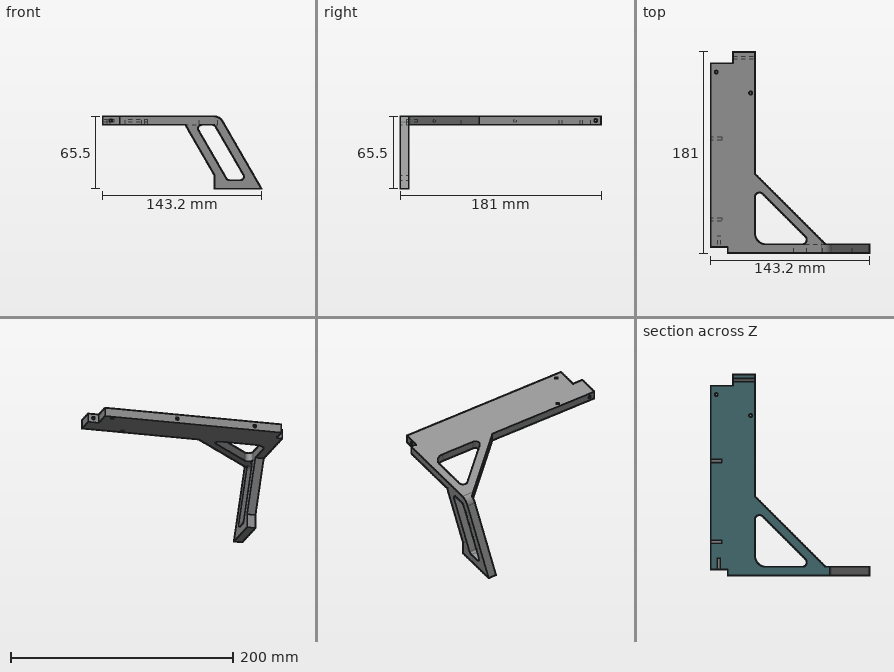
import cadquery as cq
import math

length_x = 143.2
length_y = 181.0
height = 65.5
thickness = 8.0
top = height
underside = top - thickness
mid_plate = top - thickness / 2

plate_width = 40.0
back_notch_x = plate_width / 2
back_notch_y = 10.0
front_notch_x = 15.4
front_notch_y = 5.5
brace_start_y = 71.3
brace_end_x = plate_width + brace_start_y - thickness
brace_corner_radius = 10.0
brace_tip_radius = 4.0

lean = math.radians(60)
foot_x = 100.6
foot_height = 12.3
bend_radius = 10.0
leg_window_radius = 3.0

hole_diameter = 2.5
blind_depth = 10.0
vertical_hole_places = [(5.0, length_y - 18.1), (36.0, length_y - 37.0)]
side_hole_pitch = 72.8
tab_hole_y = length_y - back_notch_y / 2
front_hole_x = 7.5


def outer_leg_x(z):
    """X of the outer sloping face of the leg at height z."""
    return length_x - z / math.tan(lean)


def inner_leg_x(z):
    """X of the inner sloping face of the leg at height z."""
    return foot_x - (z - foot_height) / math.tan(lean)


def extrude_up(points):
    """Plate-thick prism standing on the underside of the plate."""
    return cq.Workplane("XY").workplane(offset=underside).polyline(points).close().extrude(thickness)


def extrude_back(points):
    """Leg-thick prism growing toward +Y from the front face."""
    return cq.Workplane("XZ").polyline(points).close().extrude(-thickness)


def make_plate():
    return extrude_up([
        (0, front_notch_y),
        (front_notch_x, front_notch_y),
        (front_notch_x, 0),
        (brace_end_x, 0),
        (brace_end_x, thickness),
        (plate_width, brace_start_y),
        (plate_width, length_y),
        (back_notch_x, length_y),
        (back_notch_x, length_y - back_notch_y),
        (0, length_y - back_notch_y),
    ])


def make_leg():
    return extrude_back([
        (plate_width, top),
        (outer_leg_x(top), top),
        (length_x, 0),
        (foot_x, 0),
        (foot_x, foot_height),
        (inner_leg_x(underside), underside),
        (plate_width, underside),
    ])


def bend_trim():
    """Sliver outside the rounded bend, long enough to trim the brace too."""
    tangent = bend_radius * math.tan(lean / 2)
    corner_x = outer_leg_x(top)
    start_x = corner_x - tangent
    end = (corner_x + tangent * math.cos(lean), top - tangent * math.sin(lean))
    middle = (
        start_x + bend_radius * math.sin(lean / 2),
        top - bend_radius * (1 - math.cos(lean / 2)),
    )
    return (
        cq.Workplane("XZ")
        .moveTo(start_x, top)
        .threePointArc(middle, end)
        .lineTo(end[0], top)
        .close()
        .extrude(-brace_start_y)
    )


def brace_window():
    diagonal_sum = plate_width + brace_start_y - thickness * math.sqrt(2)
    window = extrude_up([
        (plate_width, thickness),
        (diagonal_sum - thickness, thickness),
        (plate_width, diagonal_sum - plate_width),
    ])
    corner = cq.selectors.NearestToPointSelector((plate_width, thickness, mid_plate))
    window = window.edges(corner).fillet(brace_corner_radius)
    tips = [(diagonal_sum - thickness, thickness), (plate_width, diagonal_sum - plate_width)]
    for x, y in tips:
        tip = cq.selectors.NearestToPointSelector((x, y, mid_plate))
        window = window.edges(tip).fillet(brace_tip_radius)
    return window


def leg_window():
    wall_x = thickness / math.sin(lean)
    window = extrude_back([
        (inner_leg_x(underside) + wall_x, underside),
        (outer_leg_x(underside) - wall_x, underside),
        (outer_leg_x(thickness) - wall_x, thickness),
        (inner_leg_x(thickness) + wall_x, thickness),
    ])
    return window.edges("|Y").fillet(leg_window_radius)


def hole(start, direction, depth):
    return cq.Workplane(
        cq.Solid.makeCylinder(hole_diameter / 2, depth, cq.Vector(*start), cq.Vector(*direction))
    )


result = make_plate().union(make_leg()).cut(bend_trim()).cut(brace_window()).cut(leg_window())

for x, y in vertical_hole_places:
    result = result.cut(hole((x, y, underside), (0, 0, 1), thickness))

result = result.cut(hole((back_notch_x, tab_hole_y, mid_plate), (1, 0, 0), plate_width - back_notch_x))
for step in (1, 2):
    side_hole_y = tab_hole_y - step * side_hole_pitch
    result = result.cut(hole((0, side_hole_y, mid_plate), (1, 0, 0), blind_depth))

result = result.cut(hole((front_hole_x, front_notch_y, mid_plate), (0, 1, 0), blind_depth))